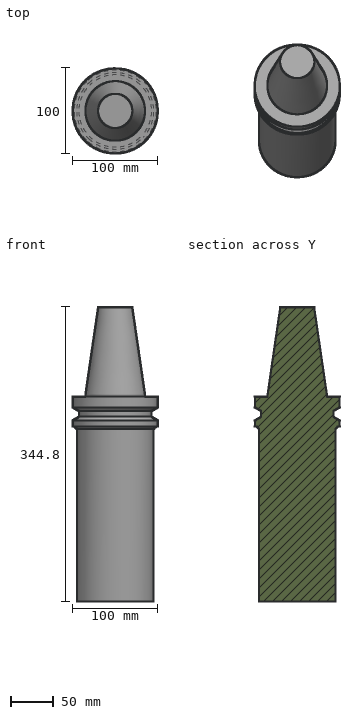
import cadquery as cq
import math

taper_large_diameter = 69.85
taper_length = 101.8
taper_ratio = 7 / 24
taper_small_diameter = taper_large_diameter - taper_ratio * taper_length

flange_diameter = 100.0
flange_top = -3.0
flange_bottom = -38.0
groove_diameter = 85.0
groove_center = -23.2
groove_floor_half_width = 3.2
groove_flank_angle = 30.0

body_diameter = 90.0
body_bottom = -243.0

collar_size = 3.0

flange_radius = flange_diameter / 2
groove_radius = groove_diameter / 2
groove_flank_height = (flange_radius - groove_radius) * math.tan(math.radians(groove_flank_angle))
body_radius = body_diameter / 2
groove_floor_top = groove_center + groove_floor_half_width
groove_floor_bottom = groove_center - groove_floor_half_width


def make_taper():
    """Conical shank with a short cylindrical neck down to the flange."""
    profile = [
        (0, taper_length),
        (taper_small_diameter / 2, taper_length),
        (taper_large_diameter / 2, 0),
        (taper_large_diameter / 2, flange_top),
        (0, flange_top),
    ]
    return revolve_profile(profile)


def make_flange():
    """Flange with a V-shaped groove around its rim."""
    profile = [
        (0, flange_top),
        (flange_radius, flange_top),
        (flange_radius, groove_floor_top + groove_flank_height),
        (groove_radius, groove_floor_top),
        (groove_radius, groove_floor_bottom),
        (flange_radius, groove_floor_bottom - groove_flank_height),
        (flange_radius, flange_bottom),
        (0, flange_bottom),
    ]
    return revolve_profile(profile)


def make_body():
    """Cylinder below the flange, widened by the collar at its top."""
    profile = [
        (0, flange_bottom),
        (body_radius + collar_size, flange_bottom),
        (body_radius, flange_bottom - collar_size),
        (body_radius, body_bottom),
        (0, body_bottom),
    ]
    return revolve_profile(profile)


def revolve_profile(points):
    """Turn a closed (radius, height) outline about the Z axis."""
    return cq.Workplane("XZ").polyline(points).close().revolve(360, (0, 0, 0), (0, 1, 0))


result = make_taper().union(make_flange()).union(make_body())